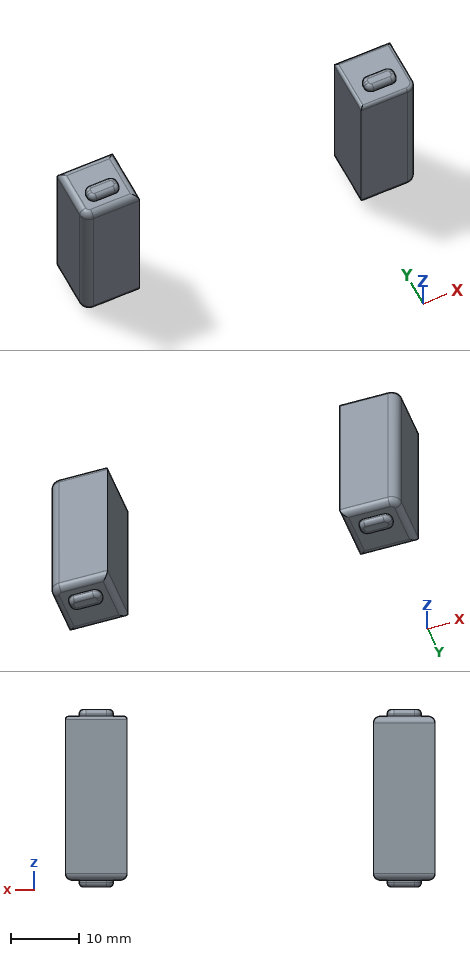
import cadquery as cq

overall_length = 54.0
overall_height = 26.0

post_side = 9.0
post_height = 24.0
corner_radius = 1.5
edge_radius = 1.0
slim_edge_radius = 0.5

key_length = 5.0
key_width = 2.5
key_corner_radius = 1.0
key_edge_radius = 0.7
key_offset = 1.25
key_height = (overall_height - post_height) / 2

post_spacing = overall_length - post_side


def end_key():
    """Key standing on Z = 0, with rounded corners and a rounded outer rim."""
    return (
        cq.Workplane("XY")
        .center(0, -key_offset)
        .rect(key_length, key_width)
        .extrude(key_height)
        .edges("|Z")
        .fillet(key_corner_radius)
        .faces(">Z")
        .edges()
        .fillet(key_edge_radius)
    )


def post(rounded_corner, top_radius):
    """Post centred on the origin, with one rounded upright edge and a key on each end."""
    body = (
        cq.Workplane("XY")
        .box(post_side, post_side, post_height)
        .edges("|Z")
        .edges(rounded_corner)
        .fillet(corner_radius)
    )
    body = body.faces(">Z").edges().fillet(top_radius)
    body = body.faces("<Z").edges().fillet(edge_radius)

    top_key = end_key().translate((0, 0, post_height / 2))
    bottom_key = top_key.mirror("XY")
    return body.union(top_key).union(bottom_key)


left_post = post("<X and <Y", edge_radius).translate((-post_spacing / 2, 0, 0))
right_post = post(">X and <Y", slim_edge_radius).translate((post_spacing / 2, 0, 0))

result = cq.Compound.makeCompound([left_post.val(), right_post.val()])